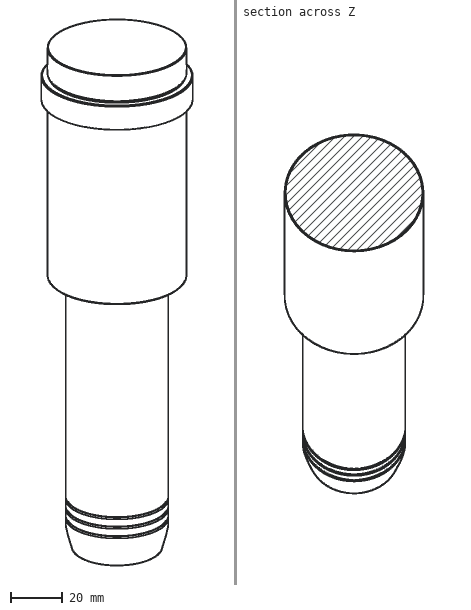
import cadquery as cq

total_length = 213.0
tip_height = 10.0
pin_top = 115.2
flange_bottom = 190.8
flange_height = 10.2
flange_top = flange_bottom + flange_height

flange_diameter = 59.0
body_diameter = 54.0
pin_diameter = 40.0
neck_diameter = 38.0
tip_diameter = 35.0

tip_bulge = 0.2
tip_chamfer = 0.5
top_chamfer = 0.32
body_chamfer = 0.6
flange_chamfer = 0.5

neck_height = 1.5
relief_width = 0.9
relief_depth = 0.5

groove_count = 3
lowest_groove_center = 13.5
groove_pitch = 4.0
groove_width = 1.0
groove_depth = 0.6


def disc(diameter, bottom, top):
    """Solid cylinder on the Z axis between two heights."""
    return cq.Workplane("XY").workplane(offset=bottom).circle(diameter / 2).extrude(top - bottom)


def revolve_about_z(profile):
    """Full turn of an XZ profile about the Z axis."""
    return profile.revolve(360, (0, 0, 0), (0, 1, 0))


def v_groove(center):
    """Cutter for one V-shaped groove around the pin, centred at the given height."""
    pin_radius = pin_diameter / 2
    half_width = groove_width / 2
    corners = [
        (pin_radius - groove_depth, center),
        (pin_radius, center + half_width),
        (pin_radius + groove_depth, center + half_width),
        (pin_radius + groove_depth, center - half_width),
        (pin_radius, center - half_width),
    ]
    return revolve_about_z(cq.Workplane("XZ").polyline(corners).close())


def relief_groove(bottom):
    """Cutter for a shallow square groove around the body."""
    top = bottom + relief_width
    outer = disc(body_diameter + 2 * relief_depth, bottom, top)
    return outer.cut(disc(body_diameter - 2 * relief_depth, bottom, top))


def make_tip():
    """Gently crowned lead-in tip with a small chamfer at its end."""
    tip_radius = tip_diameter / 2
    pin_radius = pin_diameter / 2
    middle = ((tip_radius + pin_radius) / 2 + tip_bulge, tip_height / 2)
    profile = (
        cq.Workplane("XZ")
        .lineTo(tip_radius, 0)
        .threePointArc(middle, (pin_radius, tip_height))
        .lineTo(0, tip_height)
        .close()
    )
    return revolve_about_z(profile).faces("<Z").chamfer(tip_chamfer)


def make_pin():
    """Slim guide pin with lubrication grooves and a relief neck under the body."""
    neck_bottom = pin_top - neck_height
    pin = disc(pin_diameter, tip_height, neck_bottom)
    for index in range(groove_count):
        pin = pin.cut(v_groove(lowest_groove_center + index * groove_pitch))
    return pin.union(disc(neck_diameter, neck_bottom, pin_top))


def make_body():
    """Thick body with chamfered ends and a flange between two relief grooves."""
    body = disc(body_diameter, pin_top, total_length)
    body = body.faces("<Z").chamfer(body_chamfer)
    body = body.faces(">Z").chamfer(top_chamfer)
    for bottom in (flange_bottom - relief_width, flange_top):
        body = body.cut(relief_groove(bottom))
    flange = disc(flange_diameter, flange_bottom, flange_top).faces(">Z").chamfer(flange_chamfer)
    return body.union(flange)


result = make_tip().union(make_pin()).union(make_body())